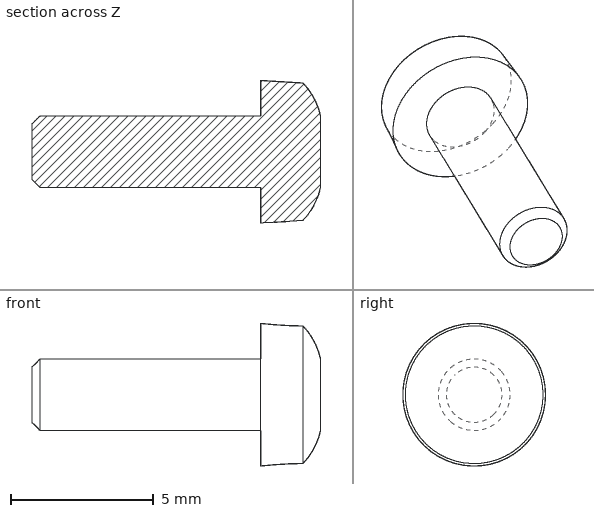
import cadquery as cq
import math

total_length = 10.1
shank_length = 8.0
shank_radius = 1.25
tip_chamfer = 0.28

head_radius = 2.5
rim_length = 1.48
rim_taper_angle = 3.5
crown_flat_radius = 1.25
crown_bulge = 0.09

tip_x = -total_length / 2
seat_x = tip_x + shank_length
rim_end_x = seat_x + rim_length
head_end_x = tip_x + total_length

rim_end_radius = head_radius - rim_length * math.tan(math.radians(rim_taper_angle))

crown_length = head_end_x - rim_end_x
crown_drop = rim_end_radius - crown_flat_radius
crown_chord = math.hypot(crown_length, crown_drop)
crown_mid = (
    (rim_end_x + head_end_x) / 2 + crown_bulge * crown_drop / crown_chord,
    (rim_end_radius + crown_flat_radius) / 2 + crown_bulge * crown_length / crown_chord,
)

profile = (
    cq.Workplane("XY")
    .moveTo(tip_x, 0)
    .lineTo(tip_x, shank_radius - tip_chamfer)
    .lineTo(tip_x + tip_chamfer, shank_radius)
    .lineTo(seat_x, shank_radius)
    .lineTo(seat_x, head_radius)
    .lineTo(rim_end_x, rim_end_radius)
    .threePointArc(crown_mid, (head_end_x, crown_flat_radius))
    .lineTo(head_end_x, 0)
    .close()
)

result = profile.revolve(360, (0, 0, 0), (1, 0, 0))